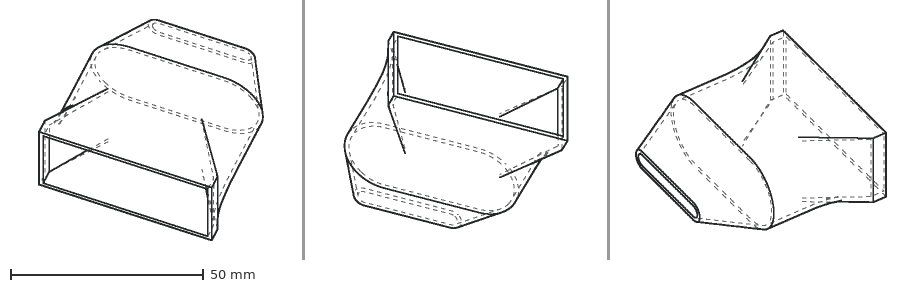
import cadquery as cq

width = 48.6
height = 22.1
length = 52.0
wall = 1.2

mouth_length = 4.0
transition_length = 16.0
straight_length = 15.0

tip_width = 30.15
tip_height = 6.05

mouth_end = mouth_length
transition_end = mouth_end + transition_length
straight_end = transition_end + straight_length


def section_plane(y):
    """Plane across the duct at the given Y, with local x = X and local y = Z."""
    return cq.Plane(origin=(0, y, 0), xDir=(1, 0, 0), normal=(0, -1, 0))


def rectangle_wire(w, h, y):
    corners = [(-w / 2, -h / 2), (w / 2, -h / 2), (w / 2, h / 2), (-w / 2, h / 2)]
    return cq.Workplane(section_plane(y)).polyline(corners).close().val()


def stadium_wire(w, h, y):
    """Flat top and bottom joined by half-round ends, starting at the lower left."""
    flat = (w - h) / 2
    return (
        cq.Workplane(section_plane(y))
        .moveTo(-flat, -h / 2)
        .lineTo(flat, -h / 2)
        .threePointArc((w / 2, 0), (flat, h / 2))
        .lineTo(-flat, h / 2)
        .threePointArc((-w / 2, 0), (-flat, -h / 2))
        .close()
        .val()
    )


def duct_body(inset):
    """Solid following the duct's sections, each shrunk inward by the inset."""
    w = width - 2 * inset
    h = height - 2 * inset
    sections = [
        rectangle_wire(w, h, 0),
        rectangle_wire(w, h, mouth_end),
        stadium_wire(w, h, transition_end),
        stadium_wire(w, h, straight_end),
        stadium_wire(tip_width - 2 * inset, tip_height - 2 * inset, length),
    ]
    body = None
    for start, end in zip(sections, sections[1:]):
        stretch = cq.Workplane(cq.Solid.makeLoft([start, end], True))
        body = stretch if body is None else body.union(stretch)
    return body


result = duct_body(0).cut(duct_body(wall))